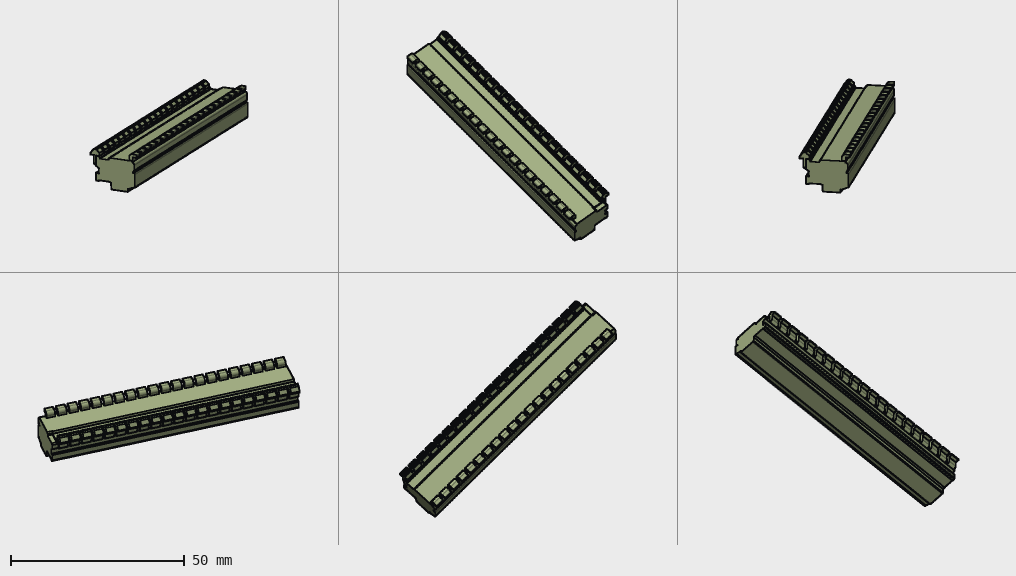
import cadquery as cq

length = 75
width = 14.7
height = 11.5

deck = 9.5
left_face = 2.0
right_face = 14.5
foot_left = 6.8
foot_right = 12.15
foot_chamfer = 0.2
foot_draft = 0.1

groove_left = 3.3
groove_right = 6.3
groove_bevel_run = 0.4
groove_bevel_drop = 0.5
groove_floor = 8.85
groove_corner = 0.2
lip_right = 3.0

undercut_x = 2.9
undercut_bottom = 4.3
undercut_top = 5.85
corner_bevel = 0.3
upper_jaw = 6.5
lower_jaw = 4.6
jaw_bevel_run = 0.15
jaw_bevel_drop = 0.2

left_base = 2.0
base_bevel_run = 0.15
base_bevel_rise = 0.45
base_lip_right = 2.9
base_recess = 0.2
recess_right = 6.2

deck_right = 13.6
bulge_round = 0.7
bulge_x = deck_right + bulge_round
bulge_bottom = 6.75
bulge_top = 9.15
neck_x = 13.8
ledge = 5.9
ledge_round = 0.2
neck_chamfer = 0.2
slope_top = 1.6
slope_bottom = 0.9
slope_left = foot_right + 0.5
slope_right = right_face - 0.4

clip_count = 21
clip_width = 2.6
front_margin = 0.4
back_margin = 1.9
clip_pitch = (length - front_margin - back_margin - clip_width) / (clip_count - 1)

stem_left = 1.1
hook_right = lip_right
hook_tip_top = 10.0
hook_shoulder = 10.4
crest_left = 0.9
crest_left_top = 11.2
crest_flat_left = 1.35
crest_flat_right = 1.6
crest_right = 2.0
crest_right_top = 11.3
stem_round_top = 7.35
stem_round = 1.0

bent_left = 12.45
bent_under = 10.6
bend_radius = 1.05
tip_round = 0.15

notch_depth = 1.5
notch_floor = 8.5
notch_right = 6.1
notch_bevel_run = 0.45
notch_bevel_drop = 0.4


def extrude_along_y(outline, start, depth):
    """Extrude an outline drawn in X and Z from y = start to y = start + depth."""
    return outline.extrude(-depth).translate((0, start, 0))


def make_bar():
    outline = (
        cq.Workplane("XZ")
        .moveTo(foot_left + foot_draft + foot_chamfer, 0)
        .lineTo(foot_right, 0)
        .lineTo(foot_right, slope_bottom)
        .lineTo(slope_left, slope_bottom)
        .lineTo(slope_right, slope_top)
        .lineTo(right_face, slope_top)
        .lineTo(right_face, ledge - ledge_round)
        .radiusArc((right_face - ledge_round, ledge), -ledge_round)
        .lineTo(neck_x + neck_chamfer, ledge)
        .lineTo(neck_x, ledge + neck_chamfer)
        .lineTo(bulge_x, bulge_bottom)
        .lineTo(bulge_x, bulge_top - bulge_round)
        .radiusArc((deck_right, bulge_top), -bulge_round)
        .lineTo(deck_right, deck)
        .lineTo(groove_right, deck)
        .lineTo(groove_right - groove_bevel_run, deck - groove_bevel_drop)
        .lineTo(groove_right - groove_bevel_run, groove_floor)
        .lineTo(groove_left, groove_floor)
        .lineTo(groove_left, groove_floor + groove_corner)
        .lineTo(lip_right, deck)
        .lineTo(left_face, deck)
        .lineTo(left_face, upper_jaw)
        .lineTo(undercut_x - corner_bevel, undercut_top + corner_bevel)
        .lineTo(undercut_x, undercut_top)
        .lineTo(undercut_x, undercut_bottom)
        .lineTo(left_face + jaw_bevel_run, lower_jaw)
        .lineTo(left_face, lower_jaw - jaw_bevel_drop)
        .lineTo(left_face, left_base + base_bevel_rise)
        .lineTo(left_face + base_bevel_run, left_base)
        .lineTo(base_lip_right, left_base)
        .lineTo(base_lip_right, left_base + base_recess)
        .lineTo(recess_right, left_base + base_recess)
        .lineTo(foot_left, left_base)
        .lineTo(foot_left + foot_draft, foot_chamfer)
        .close()
    )
    return extrude_along_y(outline, 0, length)


def make_back_notch():
    outline = (
        cq.Workplane("XZ")
        .moveTo(left_face, notch_floor - notch_bevel_drop)
        .lineTo(left_face + notch_bevel_run, notch_floor)
        .lineTo(notch_right, notch_floor)
        .lineTo(notch_right, deck - notch_bevel_drop)
        .lineTo(notch_right + notch_bevel_run, deck)
        .lineTo(left_face, deck)
        .close()
    )
    return extrude_along_y(outline, length - notch_depth, notch_depth)


def make_hook(start):
    outline = (
        cq.Workplane("XZ")
        .moveTo(0, deck)
        .lineTo(0, hook_tip_top)
        .lineTo(crest_left, crest_left_top)
        .lineTo(crest_flat_left, height)
        .lineTo(crest_flat_right, height)
        .lineTo(crest_right, crest_right_top)
        .lineTo(hook_right, hook_shoulder)
        .lineTo(hook_right, deck)
        .lineTo(left_face, deck)
        .lineTo(left_face, upper_jaw)
        .radiusArc((stem_left, stem_round_top), stem_round)
        .lineTo(stem_left, deck)
        .close()
    )
    return extrude_along_y(outline, start, clip_width)


def make_bent_clip(start):
    outline = (
        cq.Workplane("XZ")
        .moveTo(bent_left, deck)
        .lineTo(bent_left, height - bend_radius)
        .radiusArc((bent_left + bend_radius, height), bend_radius)
        .lineTo(width - tip_round, height)
        .radiusArc((width, height - tip_round), tip_round)
        .lineTo(width, bent_under)
        .lineTo(deck_right, bent_under)
        .lineTo(deck_right, deck)
        .close()
    )
    return extrude_along_y(outline, start, clip_width)


result = make_bar().cut(make_back_notch())
for index in range(clip_count):
    clip_start = front_margin + index * clip_pitch
    result = result.union(make_hook(clip_start)).union(make_bent_clip(clip_start))